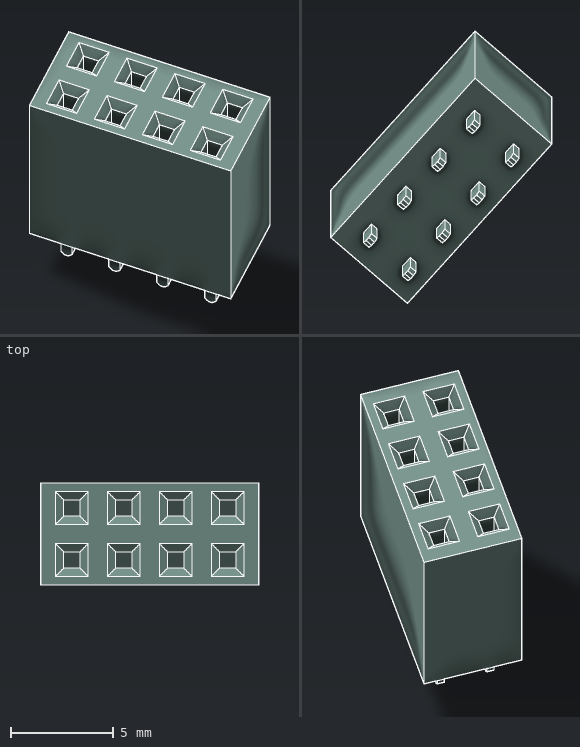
import cadquery as cq

body_length = 10.66
body_width = 5.0
overall_height = 12.2
body_height = 10.0

pitch = 2.54
columns = 4
rows = 2

funnel_mouth = 1.6
funnel_throat = 0.79
funnel_depth = (funnel_mouth - funnel_throat) / 2
socket_depth = body_height / 2
throat_depth = socket_depth - funnel_depth

pin_length = overall_height - body_height
pin_width = 0.6
pin_thickness = 0.37
tip_chamfer = 0.2


def at_contacts(workplane):
    """Select the centre of every contact of the grid on the workplane."""
    return workplane.rarray(pitch, pitch, columns, rows)


def make_body():
    return cq.Workplane("XY").box(
        body_length, body_width, body_height, centered=(True, True, False)
    )


def make_socket():
    """Solid shape of one socket, hanging below its mouth at Z = 0."""
    funnel = (
        cq.Workplane("XY")
        .rect(funnel_mouth, funnel_mouth)
        .workplane(offset=-funnel_depth)
        .rect(funnel_throat, funnel_throat)
        .loft(ruled=True)
    )
    throat = (
        cq.Workplane("XY")
        .workplane(offset=-funnel_depth)
        .rect(funnel_throat, funnel_throat)
        .extrude(-throat_depth)
    )
    return funnel.union(throat)


def make_pin():
    """One pin, hanging below the housing floor at Z = 0."""
    return (
        cq.Workplane("XY")
        .rect(pin_width, pin_thickness)
        .extrude(-pin_length)
        .faces("<Z")
        .edges("|Y")
        .chamfer(tip_chamfer)
    )


socket = make_socket().val()
pin = make_pin().val()

sockets = at_contacts(cq.Workplane("XY", origin=(0, 0, body_height))).eachpoint(
    lambda place: socket.moved(place)
)
pins = at_contacts(cq.Workplane("XY")).eachpoint(lambda place: pin.moved(place))

result = make_body().cut(sockets).union(pins)